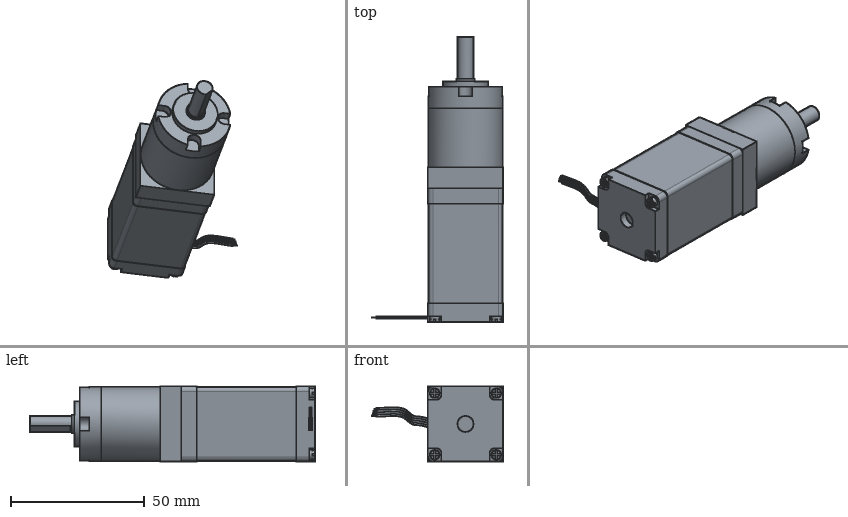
import cadquery as cq


motor_length = 49.9
end_cap_side = 28.2
can_side = 27.8
corner_flat_half = 12.2
rear_cap_length = 7.0
front_cap_length = 5.7
rear_bore_diameter = 6.0
rear_bore_depth = 3.0

screw_offset = 11.5
screw_head_diameter = 3.6
screw_head_height = 1.9
screw_slot_width = 0.65
screw_slot_depth = 0.8
pocket_inner_edge = 9.05
pocket_depth = 2.1
pocket_corner_radius = 1.9

wire_count = 4
wire_diameter = 0.86
wire_pitch = 0.84
wire_y = 1.7
outlet_height = 4.8
outlet_width = 1.3
outlet_depth = 2.5
wire_root = (-10.8, -0.3)
wire_bends = [(-14.1, 0.45), (-17.4, 1.15), (-19.4, 1.4), (-22.4, 3.6), (-24.2, 4.35), (-27.0, 4.6)]
wire_end = (-33.3, 4.35)
conductor_diameter = 0.25
shortest_conductor = 0.75
conductor_stagger = 0.32

gearbox_diameter = 28.0
adapter_side = end_cap_side
adapter_length = 8.0
tube_length = 22.0
front_cap_thickness = 8.0
boss_diameter = 17.0
boss_height = 2.0
notch_count = 4
notch_width = 5.0
notch_floor_radius = 9.0
notch_depth = 3.5

shaft_tip = 106.5
shaft_diameter = 6.0
collar_diameter = 7.0
collar_height = 1.0
flat_length = 15.0
flat_distance = 2.5
flat_direction = 225.0

adapter_front = motor_length + adapter_length
tube_front = adapter_front + tube_length
cap_front = tube_front + front_cap_thickness
boss_front = cap_front + boss_height
collar_front = boss_front + collar_height


def section_at(y):
    """Workplane across the axis; a negative extrusion runs towards +Y."""
    return cq.Workplane("XZ", origin=(0, y, 0))


def cylinder(diameter, start, end):
    return section_at(start).circle(diameter / 2).extrude(start - end)


def square_bar(side, start, end):
    return section_at(start).rect(side, side).extrude(start - end)


def rounded_bar(side, start, end):
    radius = side / 2 - corner_flat_half
    return square_bar(side, start, end).edges("|Y").fillet(radius)


def corner_pocket(sign_x, sign_z):
    """Square recess, rounded at its inner corner and reaching well past the motor's outer faces."""
    size = end_cap_side - pocket_inner_edge
    center = pocket_inner_edge + size / 2
    return (
        section_at(0)
        .center(sign_x * center, sign_z * center)
        .rect(size, size)
        .extrude(-pocket_depth)
        .edges("|Y")
        .fillet(pocket_corner_radius)
    )


def screw_head(sign_x, sign_z):
    """Round head standing on the pocket floor, with crossed driver slots."""
    top = pocket_depth - screw_head_height
    axis = section_at(top).center(sign_x * screw_offset, sign_z * screw_offset)
    head = axis.circle(screw_head_diameter / 2).extrude(-screw_head_height)
    for width, height in (
        (screw_head_diameter, screw_slot_width),
        (screw_slot_width, screw_head_diameter),
    ):
        head = head.cut(axis.rect(width, height).extrude(-screw_slot_depth))
    return head


def wire(index):
    """One lead: a round jacket swept along the ribbon curve, with a bare conductor at its end."""
    shift = ((wire_count - 1) / 2 - index) * wire_pitch
    route = [wire_root, *wire_bends, wire_end]
    points = [cq.Vector(x, wire_y, z + shift) for x, z in route]
    start_direction = points[1] - points[0]
    end_direction = cq.Vector(-1, 0, 0)
    path = cq.Edge.makeSpline(points, tangents=[start_direction, end_direction])
    start = cq.Plane(points[0], xDir=(0, 1, 0), normal=start_direction)
    jacket = cq.Workplane(start).circle(wire_diameter / 2).sweep(cq.Workplane(path))
    conductor = cq.Solid.makeCylinder(
        conductor_diameter / 2,
        shortest_conductor + index * conductor_stagger,
        points[-1],
        end_direction,
    )
    return jacket.union(cq.Workplane(conductor))


def make_motor():
    front_cap_start = motor_length - front_cap_length
    body = rounded_bar(end_cap_side, 0, rear_cap_length)
    body = body.union(rounded_bar(can_side, rear_cap_length, front_cap_start))
    body = body.union(rounded_bar(end_cap_side, front_cap_start, motor_length))
    body = body.cut(cylinder(rear_bore_diameter, 0, rear_bore_depth))
    for sign_x in (-1, 1):
        for sign_z in (-1, 1):
            body = body.cut(corner_pocket(sign_x, sign_z))
            body = body.union(screw_head(sign_x, sign_z))
    outlet = cq.Workplane("XY").box(2 * outlet_depth, outlet_width, outlet_height)
    body = body.cut(outlet.translate((-end_cap_side / 2, wire_y, 0)))
    for index in range(wire_count):
        body = body.union(wire(index))
    return body


def make_gearbox_housing():
    adapter = square_bar(adapter_side, motor_length, adapter_front)
    return adapter.union(cylinder(gearbox_diameter, adapter_front, tube_front))


def rim_notch(angle):
    """Parallel-sided notch in the rim, with a half-round floor towards the axis."""
    half_width = notch_width / 2
    arc_center = notch_floor_radius + half_width
    outside = gearbox_diameter
    return (
        section_at(cap_front)
        .moveTo(outside, half_width)
        .lineTo(arc_center, half_width)
        .threePointArc((notch_floor_radius, 0), (arc_center, -half_width))
        .lineTo(outside, -half_width)
        .close()
        .extrude(notch_depth)
        .rotate((0, 0, 0), (0, 1, 0), angle)
    )


def make_front_cap():
    cap = cylinder(gearbox_diameter, tube_front, cap_front)
    cap = cap.union(cylinder(boss_diameter, cap_front, boss_front))
    cap = cap.cut(cylinder(collar_diameter, tube_front, boss_front))
    for index in range(notch_count):
        cap = cap.cut(rim_notch(index * 360 / notch_count))
    return cap


def make_shaft():
    shaft = cylinder(collar_diameter, tube_front, collar_front)
    shaft = shaft.union(cylinder(shaft_diameter, collar_front, shaft_tip))
    flat_cutter = (
        section_at(shaft_tip - flat_length)
        .center(flat_distance + shaft_diameter / 2, 0)
        .rect(shaft_diameter, 2 * shaft_diameter)
        .extrude(-flat_length)
        .rotate((0, 0, 0), (0, 1, 0), -flat_direction)
    )
    return shaft.cut(flat_cutter)


motor = make_motor()
gearbox_housing = make_gearbox_housing()
front_cap = make_front_cap()
shaft = make_shaft()
result = cq.Compound.makeCompound(
    [motor.val(), gearbox_housing.val(), front_cap.val(), shaft.val()]
)